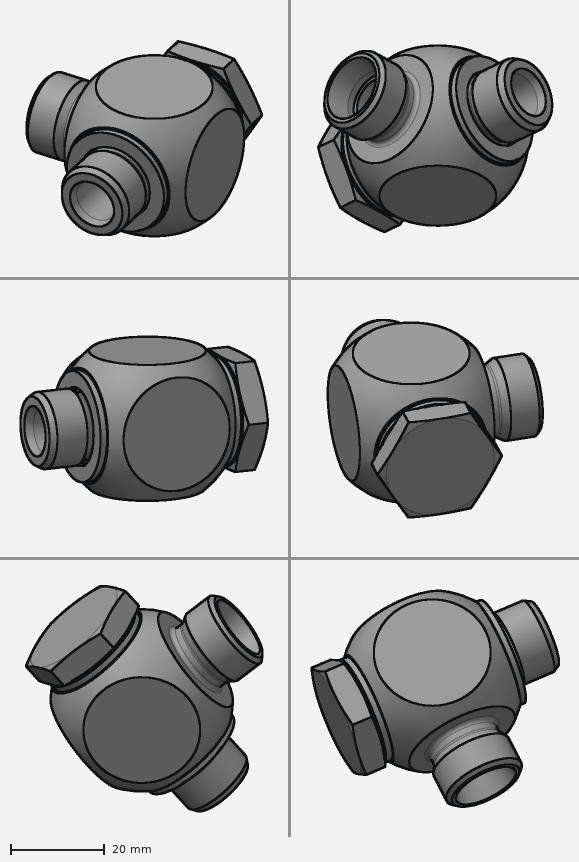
import cadquery as cq
import math

RELIEF_ANGLE = 30.0

CUBE_SIDE = 30.0
FLAT_DIAMETER = 25.0
BOLT_HOLE_DIAMETER = 17.0

STUB_LENGTH = 12.0
STUB_DIAMETER = 18.0
STUB_CHAMFER = 1.0
STUB_LAND_END = 4.65
NECK_DIAMETER = 15.7
NECK_FILLET = 1.0

CONE_MOUTH_DIAMETER = 14.2
TUBE_DIAMETER = 12.0
CONE_HALF_ANGLE = 12.0
TUBE_SEAT_DEPTH = 7.0
PASSAGE_DIAMETER = 10.0

RING_DIAMETER = 24.0
RING_THICKNESS = 1.5

HEX_ACROSS_FLATS = 24.0
HEX_CHAMFER_ANGLE = 15.0
HEX_CORNER_ANGLE = 30.0
BOLT_TOP = 22.55
COLLAR_THICKNESS = 0.5
BOLT_LENGTH = 49.0
SHANK_DIAMETER = 16.95
SHANK_START = -14.5
GROOVE_DIAMETER = 14.7
GROOVE_FILLET = 0.5
THREAD_DIAMETER = 16.65
THREAD_LENGTH = 8.58
THREAD_TIP_DIAMETER = 15.0
THREAD_CHAMFER_LENGTH = 1.45
BORE_MOUTH_DIAMETER = 10.9
BORE_DIAMETER = 10.0
BORE_TAPER_LENGTH = 1.95
BORE_DEPTH = 26.45
DRILL_POINT_HALF_ANGLE = 59.0

FACE = CUBE_SIDE / 2
SEAT = FACE + RING_THICKNESS
BOLT_END = BOLT_TOP - BOLT_LENGTH


def tangent(angle):
    return math.tan(math.radians(angle))


def add_relief(sketch, place, land_end, land_radius, wall, neck, fillet):
    """Continue a half section from the end of a land, down a taper, along a neck and up to a wall.

    `place` turns (distance along the axis, radius) into a point of the sketch. Both neck corners
    are rounded; the line ends where the last fillet meets the wall.
    """
    taper = math.radians(RELIEF_ANGLE)
    taper_end = land_end + (land_radius - neck) / math.tan(taper)
    reach = fillet * math.tan(taper / 2)
    center = neck + fillet
    neck_start = taper_end + reach
    neck_end = wall - fillet

    def on_fillet(arc_center, angle):
        return place(arc_center + fillet * math.sin(angle), center - fillet * math.cos(angle))

    return (
        sketch.lineTo(*on_fillet(neck_start, -taper))
        .threePointArc(on_fillet(neck_start, -taper / 2), place(neck_start, neck))
        .lineTo(*place(neck_end, neck))
        .threePointArc(on_fillet(neck_end, math.pi / 4), place(wall, center))
    )


def make_stub():
    """Turned stub along -X, reaching in to the centre of the ball."""
    end = -FACE - STUB_LENGTH
    radius = STUB_DIAMETER / 2
    neck = NECK_DIAMETER / 2
    land_end = -FACE - STUB_LAND_END
    outline = (
        cq.Workplane("XY")
        .moveTo(0, 0)
        .lineTo(end, 0)
        .lineTo(end, radius - STUB_CHAMFER)
        .lineTo(end + STUB_CHAMFER, radius)
        .lineTo(land_end, radius)
    )
    outline = add_relief(outline, lambda along, out: (along, out), land_end, radius, -FACE, neck, NECK_FILLET)
    return outline.lineTo(0, neck + NECK_FILLET).close().revolve(360, (0, 0, 0), (1, 0, 0))


def stub_bore():
    """24-degree tube cone, tube seat and passage into the bolt hole."""
    end = -FACE - STUB_LENGTH
    mouth = CONE_MOUTH_DIAMETER / 2
    tube = TUBE_DIAMETER / 2
    passage = PASSAGE_DIAMETER / 2
    cone_length = (mouth - tube) / tangent(CONE_HALF_ANGLE)
    outline = [
        (0, 0),
        (end, 0),
        (end, mouth),
        (end + cone_length, tube),
        (end + TUBE_SEAT_DEPTH, tube),
        (end + TUBE_SEAT_DEPTH, passage),
        (0, passage),
    ]
    return cq.Workplane("XY").polyline(outline).close().revolve(360, (0, 0, 0), (1, 0, 0))


def make_housing():
    ball = cq.Workplane("XY").sphere(math.hypot(FACE, FLAT_DIAMETER / 2))
    body = ball.intersect(cq.Workplane("XY").box(CUBE_SIDE, CUBE_SIDE, CUBE_SIDE))
    body = body.union(make_stub())
    bolt_hole = cq.Workplane("XZ").circle(BOLT_HOLE_DIAMETER / 2).extrude(FACE, both=True)
    return body.cut(stub_bore()).cut(bolt_hole)


def make_ring(start_y):
    """Flat sealing ring from start_y toward +Y."""
    return (
        cq.Workplane("XZ", origin=(0, start_y, 0))
        .circle(RING_DIAMETER / 2)
        .circle(BOLT_HOLE_DIAMETER / 2)
        .extrude(-RING_THICKNESS)
    )


def hexagon_head():
    """Hexagon with its corners on +X and -X, both ends chamfered."""
    bottom = SEAT + COLLAR_THICKNESS
    flat = HEX_ACROSS_FLATS / 2
    corner = flat / math.cos(math.radians(HEX_CORNER_ANGLE))
    drop = (corner - flat) * tangent(HEX_CHAMFER_ANGLE)
    hexagon = cq.Workplane("XZ", origin=(0, bottom, 0)).polygon(6, 2 * corner).extrude(bottom - BOLT_TOP)
    outline = [
        (0, bottom),
        (flat, bottom),
        (corner, bottom + drop),
        (corner, BOLT_TOP - drop),
        (flat, BOLT_TOP),
        (0, BOLT_TOP),
    ]
    envelope = cq.Workplane("XY").polyline(outline).close().revolve(360, (0, 0, 0), (0, 1, 0))
    return hexagon.intersect(envelope)


def bolt_shaft():
    """Threaded end, thread relief, shank and collar, with X as the radius."""
    shank = SHANK_DIAMETER / 2
    thread = THREAD_DIAMETER / 2
    groove = GROOVE_DIAMETER / 2
    collar = RING_DIAMETER / 2
    thread_start = BOLT_END + THREAD_LENGTH
    outline = (
        cq.Workplane("XY")
        .moveTo(0, BOLT_END)
        .lineTo(THREAD_TIP_DIAMETER / 2, BOLT_END)
        .lineTo(thread, BOLT_END + THREAD_CHAMFER_LENGTH)
        .lineTo(thread, thread_start)
    )
    outline = add_relief(
        outline, lambda along, out: (out, along), thread_start, thread, SHANK_START, groove, GROOVE_FILLET
    )
    outline = (
        outline.lineTo(shank, SHANK_START)
        .lineTo(shank, SEAT)
        .lineTo(collar, SEAT)
        .lineTo(collar, SEAT + COLLAR_THICKNESS)
        .lineTo(0, SEAT + COLLAR_THICKNESS)
        .close()
    )
    return outline.revolve(360, (0, 0, 0), (0, 1, 0))


def bolt_bore():
    """Blind bore from the threaded end, tapered at its mouth and ending in a drill point."""
    radius = BORE_DIAMETER / 2
    bore_end = BOLT_END + BORE_DEPTH
    outline = [
        (0, BOLT_END),
        (BORE_MOUTH_DIAMETER / 2, BOLT_END),
        (radius, BOLT_END + BORE_TAPER_LENGTH),
        (radius, bore_end),
        (0, bore_end + radius / tangent(DRILL_POINT_HALF_ANGLE)),
    ]
    return cq.Workplane("XY").polyline(outline).close().revolve(360, (0, 0, 0), (0, 1, 0))


def make_bolt():
    return bolt_shaft().union(hexagon_head()).cut(bolt_bore())


housing = make_housing()
bolt = make_bolt()
rings = [make_ring(start_y) for start_y in (FACE, -SEAT)]

result = cq.Compound.makeCompound([housing.val(), bolt.val(), *[ring.val() for ring in rings]])